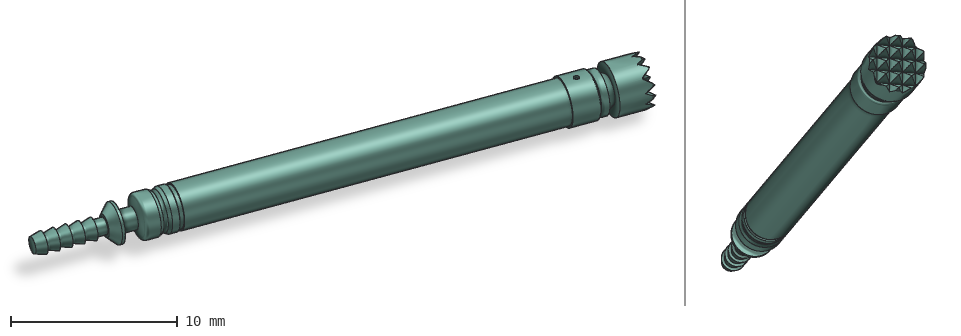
import cadquery as cq
import math

LENGTH = 40.0

HEAD_R = 1.75
HEAD_LENGTH = 2.4
TOOTH_PITCH = 0.8
GROOVE_ANGLE = 60.0
GROOVE_DEPTH = TOOTH_PITCH / 2 / math.tan(math.radians(GROOVE_ANGLE / 2))

BARREL_R = 1.5
COLLAR_R = 1.62
NECK_R = 1.0
MOUTH_R = 1.3
MOUTH_FRONT = 2.95
MOUTH_BACK = 3.25
MOUTH_WAIST_R = 1.4
MOUTH_WAIST = 3.45
COLLAR_FRONT = 3.55
COLLAR_BACK = 5.4
COLLAR_ROUND = 0.1
BARREL_END = 33.4
BARREL_END_ROUND = 0.22
BARREL_END_CONE = 0.2

RING_GROOVE_FRONT = 30.7
RING_GROOVE_WIDTH = 0.3
RING_GROOVE_DEPTH = 0.1
ROUND_GROOVE_CENTRE = 31.86
ROUND_GROOVE_WIDTH = 0.74
ROUND_GROOVE_DEPTH = 0.22
ROUND_GROOVE_FLOOR_WIDTH = 0.28
ROUND_GROOVE_FLANK_DEPTH = 0.12

STEM_R = 0.74
FLANGE_R = 1.35
FLANGE_FRONT = 34.5
FLANGE_RIM = 0.2
FLANGE_BACK = 35.3
PIN_R = 0.55
BARB_R = 0.74
BARB_COUNT = 5
BARB_PITCH = 0.815
BARB_LENGTH = 0.6
LAST_BARB_LENGTH = 0.71

DIMPLE_R = 0.18
DIMPLE_DEPTH = 0.2
DIMPLE_POSITION = 4.5


def behind_tips(distance):
    """Y coordinate of a place the given distance behind the tooth tips."""
    return LENGTH - distance


def turned(profile):
    """Revolve a closed (radius, Y) profile about the Y axis."""
    return profile.close().revolve(360, (0, 0, 0), (0, 1, 0))


def cylinder(radius, front, back):
    outline = cq.Workplane("XY").moveTo(0, behind_tips(front)).lineTo(radius, behind_tips(front))
    outline = outline.lineTo(radius, behind_tips(back)).lineTo(0, behind_tips(back))
    return turned(outline)


def make_head():
    head = cylinder(HEAD_R, 0, HEAD_LENGTH)
    grooves_per_side = math.ceil(HEAD_R / TOOTH_PITCH)
    for index in range(-grooves_per_side, grooves_per_side):
        centre = (index + 0.5) * TOOTH_PITCH
        groove = (
            cq.Workplane("XY")
            .moveTo(centre - TOOTH_PITCH / 2, LENGTH)
            .lineTo(centre, LENGTH - GROOVE_DEPTH)
            .lineTo(centre + TOOTH_PITCH / 2, LENGTH)
            .close()
            .extrude(HEAD_R, both=True)
        )
        head = head.cut(groove)
        head = head.cut(groove.rotate((0, 0, 0), (0, 1, 0), 90))
    return head


def make_barrel():
    ring_groove_back = RING_GROOVE_FRONT + RING_GROOVE_WIDTH
    round_groove_front = ROUND_GROOVE_CENTRE - ROUND_GROOVE_WIDTH / 2
    round_groove_back = ROUND_GROOVE_CENTRE + ROUND_GROOVE_WIDTH / 2
    flank_r = BARREL_R - ROUND_GROOVE_FLANK_DEPTH
    end_cone_front = BARREL_END - BARREL_END_CONE
    midpoint_share = 1 - math.cos(math.radians(45))
    round_offset = BARREL_END_ROUND * midpoint_share
    collar_offset = COLLAR_ROUND * midpoint_share
    outline = (
        cq.Workplane("XY")
        .moveTo(0, behind_tips(HEAD_LENGTH))
        .lineTo(NECK_R, behind_tips(HEAD_LENGTH))
        .lineTo(MOUTH_R, behind_tips(MOUTH_FRONT))
        .lineTo(BARREL_R, behind_tips(MOUTH_FRONT))
        .lineTo(BARREL_R, behind_tips(MOUTH_BACK))
        .tangentArcPoint((MOUTH_WAIST_R, behind_tips(MOUTH_WAIST)), relative=False)
        .lineTo(MOUTH_WAIST_R, behind_tips(COLLAR_FRONT))
        .lineTo(COLLAR_R - COLLAR_ROUND, behind_tips(COLLAR_FRONT))
        .threePointArc(
            (COLLAR_R - collar_offset, behind_tips(COLLAR_FRONT + collar_offset)),
            (COLLAR_R, behind_tips(COLLAR_FRONT + COLLAR_ROUND)),
        )
        .lineTo(COLLAR_R, behind_tips(COLLAR_BACK))
        .lineTo(BARREL_R, behind_tips(COLLAR_BACK))
        .lineTo(BARREL_R, behind_tips(RING_GROOVE_FRONT))
        .lineTo(BARREL_R - RING_GROOVE_DEPTH, behind_tips(RING_GROOVE_FRONT))
        .lineTo(BARREL_R - RING_GROOVE_DEPTH, behind_tips(ring_groove_back))
        .lineTo(BARREL_R, behind_tips(ring_groove_back))
        .lineTo(BARREL_R, behind_tips(round_groove_front))
        .lineTo(flank_r, behind_tips(ROUND_GROOVE_CENTRE - ROUND_GROOVE_FLOOR_WIDTH / 2))
        .threePointArc(
            (BARREL_R - ROUND_GROOVE_DEPTH, behind_tips(ROUND_GROOVE_CENTRE)),
            (flank_r, behind_tips(ROUND_GROOVE_CENTRE + ROUND_GROOVE_FLOOR_WIDTH / 2)),
        )
        .lineTo(BARREL_R, behind_tips(round_groove_back))
        .lineTo(BARREL_R, behind_tips(end_cone_front - BARREL_END_ROUND))
        .threePointArc(
            (BARREL_R - round_offset, behind_tips(end_cone_front - round_offset)),
            (BARREL_R - BARREL_END_ROUND, behind_tips(end_cone_front)),
        )
        .lineTo(STEM_R, behind_tips(BARREL_END))
        .lineTo(0, behind_tips(BARREL_END))
    )
    return turned(outline)


def make_dimple():
    floor = cq.Workplane("XY", origin=(0, behind_tips(DIMPLE_POSITION), COLLAR_R - DIMPLE_DEPTH))
    return floor.circle(DIMPLE_R).extrude(2 * DIMPLE_DEPTH)


def make_flange():
    outline = (
        cq.Workplane("XY")
        .moveTo(0, behind_tips(FLANGE_FRONT))
        .lineTo(FLANGE_R, behind_tips(FLANGE_FRONT))
        .lineTo(FLANGE_R, behind_tips(FLANGE_FRONT + FLANGE_RIM))
        .lineTo(STEM_R, behind_tips(FLANGE_BACK))
        .lineTo(0, behind_tips(FLANGE_BACK))
    )
    return turned(outline)


def make_barb(front, length):
    """One barb: a square shoulder at Y = front, tapering rearward down to the pin."""
    back = front - length
    outline = cq.Workplane("XY").moveTo(0, front).lineTo(BARB_R, front).lineTo(PIN_R, back).lineTo(0, back)
    return turned(outline)


def make_tail():
    tail = cylinder(STEM_R, BARREL_END, FLANGE_FRONT)
    tail = tail.union(make_flange())
    tail = tail.union(cylinder(PIN_R, FLANGE_BACK, LENGTH))
    for index in range(BARB_COUNT):
        front = LAST_BARB_LENGTH + index * BARB_PITCH
        length = LAST_BARB_LENGTH if index == 0 else BARB_LENGTH
        tail = tail.union(make_barb(front, length))
    return tail


result = make_head().union(make_barrel()).cut(make_dimple()).union(make_tail())